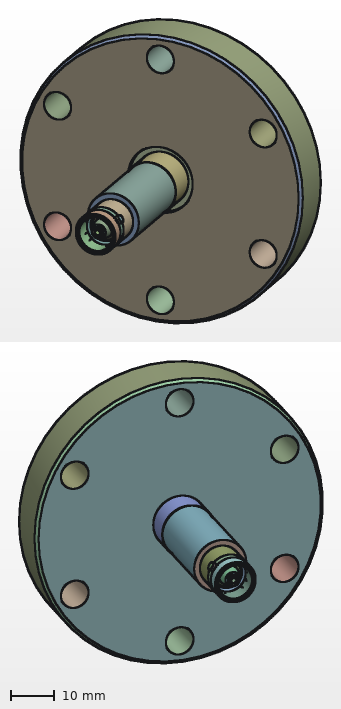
import cadquery as cq
import math


flange_radius = 34.9
flange_thickness = 12.6
flange_chamfer = 0.7
bolt_count = 6
bolt_circle_radius = 29.4
bolt_hole_radius = 3.3
weld_recess_radius = 8.0
weld_recess_depth = 1.3

overall_length = 92.9
sleeve_radius = 6.4
sleeve_half_length = 12.7
barrel_radius = 6.3
barrel_half_length = 35.4

connector_radius = 4.9
groove_centre = 42.3
groove_width = 1.95
groove_depth = 0.65
pin_radius = 0.9
pin_reach = 5.6
pin_angle = 34.0

rim_chamfer = 0.2
mouth_radius = 4.5
mouth_taper_length = 0.3
socket_radius = 4.1
socket_depth = 5.6
socket_floor_radius = 3.4
socket_taper_length = 0.65
insulator_base_radius = 3.2
insulator_tip_radius = 1.8
insulator_tip_depth = 2.0
insulator_shoulder_radius = 2.4
insulator_shoulder_depth = 4.8
contact_radius = 1.2
contact_tip_depth = 1.3
contact_bore_radius = 0.65
contact_bore_depth = 3.7


def cylinder_along_y(radius, start, end):
    """Solid cylinder on the Y axis between two Y positions."""
    return cq.Workplane("XZ", origin=(0, start, 0)).circle(radius).extrude(start - end)


def make_flange():
    """Round flange with a bolt circle, a bore for the sleeve and a weld recess on the -Y face."""
    half = flange_thickness / 2
    body = cylinder_along_y(flange_radius, -half, half).edges().chamfer(flange_chamfer)
    bolt_holes = (
        cq.Workplane("XZ", origin=(0, -half, 0))
        .polarArray(bolt_circle_radius, 90, 360, bolt_count)
        .circle(bolt_hole_radius)
        .extrude(-flange_thickness)
    )
    bore = cylinder_along_y(sleeve_radius, -half, half)
    recess = cylinder_along_y(weld_recess_radius, -half, weld_recess_depth - half)
    return body.cut(bolt_holes).cut(bore).cut(recess)


def make_half_profile():
    """Revolved +Y half of the feedthrough, from the middle plane to the connector tip."""
    tip = overall_length / 2
    groove_start = groove_centre - groove_width / 2
    groove_end = groove_centre + groove_width / 2
    floor = tip - socket_depth
    insulator_tip = tip - insulator_tip_depth
    contact_tip = tip - contact_tip_depth
    profile = (
        cq.Workplane("XY")
        .lineTo(sleeve_radius, 0)
        .lineTo(sleeve_radius, sleeve_half_length)
        .lineTo(barrel_radius, sleeve_half_length)
        .lineTo(barrel_radius, barrel_half_length)
        .lineTo(connector_radius, barrel_half_length)
        .lineTo(connector_radius, groove_start)
        .threePointArc((connector_radius - groove_depth, groove_centre), (connector_radius, groove_end))
        .lineTo(connector_radius, tip - rim_chamfer)
        .lineTo(connector_radius - rim_chamfer, tip)
        .lineTo(mouth_radius, tip)
        .lineTo(socket_radius, tip - mouth_taper_length)
        .lineTo(socket_radius, floor + socket_taper_length)
        .lineTo(socket_floor_radius, floor)
        .lineTo(insulator_base_radius, floor)
        .lineTo(insulator_shoulder_radius, tip - insulator_shoulder_depth)
        .lineTo(insulator_tip_radius, insulator_tip)
        .lineTo(contact_radius, insulator_tip)
        .lineTo(contact_radius, contact_tip)
        .lineTo(contact_bore_radius, contact_tip)
        .lineTo(contact_bore_radius, contact_tip - contact_bore_depth)
        .lineTo(0, contact_tip - contact_bore_depth)
        .close()
    )
    return profile.revolve(360, (0, 0, 0), (0, 1, 0))


def make_bayonet_pin(angle):
    """Radial pin rooted in the socket wall, in the connector groove, at an angle from +X towards +Z."""
    angle_radians = math.radians(angle)
    direction = cq.Vector(math.cos(angle_radians), 0, math.sin(angle_radians))
    root = direction * socket_radius + cq.Vector(0, groove_centre, 0)
    length = pin_reach - socket_radius
    return cq.Workplane(cq.Solid.makeCylinder(pin_radius, length, root, direction))


def make_feedthrough():
    """Double-ended coaxial feedthrough with a bayonet connector at each end."""
    half = make_half_profile()
    for angle in (pin_angle, pin_angle + 180):
        half = half.union(make_bayonet_pin(angle))
    return half.union(half.mirror("XZ"))


flange = make_flange()
feedthrough = make_feedthrough()
result = cq.Compound.makeCompound([flange.val(), feedthrough.val()])